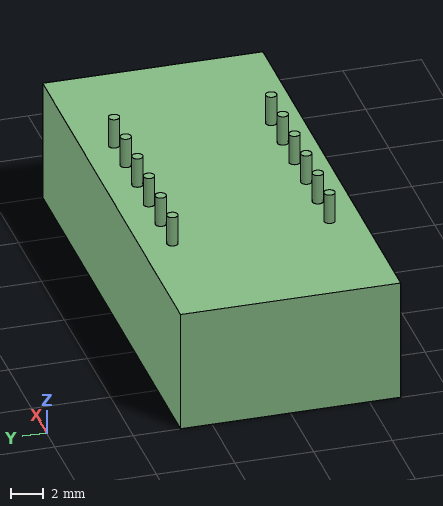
import cadquery as cq

length = 30.0
width = 14.0
overall_height = 10.0
block_height = 8.0

pin_diameter = 0.7
pin_height = overall_height - block_height
pins_per_row = 6
row_length = 12.7
pin_pitch = row_length / (pins_per_row - 1)
row_spacing = 10.0


def make_block():
    """Plain block centred in X and Y, resting on Z = 0."""
    return cq.Workplane("XY").box(length, width, block_height, centered=(True, True, False))


def add_pins(block):
    """Add both pin rows, centred on the top face."""
    return (
        block.faces(">Z")
        .workplane()
        .rarray(pin_pitch, row_spacing, pins_per_row, 2)
        .circle(pin_diameter / 2)
        .extrude(pin_height)
    )


result = add_pins(make_block())